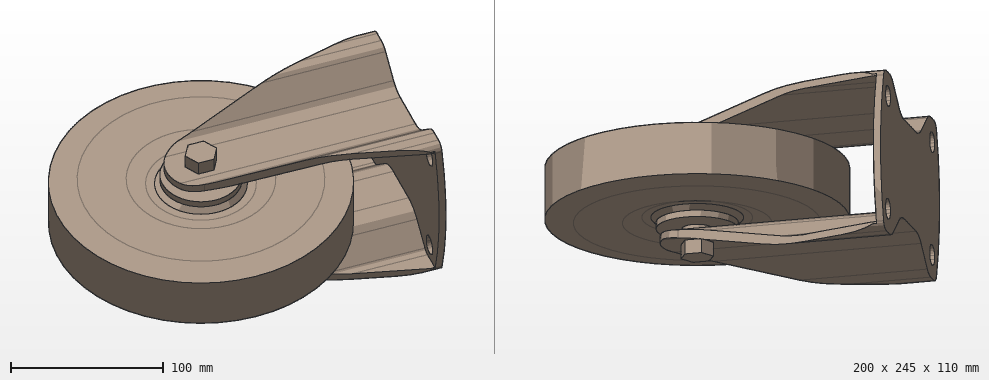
import cadquery as cq
import math

wheel_radius = 100.0
wheel_edge_half_width = 17.6
face_radius = 81.0
face_half_width = 20.0
recess_top_radius = 49.0
recess_floor_radius = 36.3
recess_floor_z = 16.2
hub_base_radius = 30.5
hub_radius = 27.0
hub_cone_top_z = 19.5
hub_half_width = 24.0

axle_diameter = 20.0
hex_across_flats = 19.0
hex_top_z = 43.5

sheet = 5.0
overall_length = 245.0
plate_y = overall_length - wheel_radius
plate_half_width = 70.0
plate_end_half_width = 61.2
plate_corner_radius = 6.9
slot_x = 52.2
slot_z = 38.7
slot_width = 11.0
slot_length = 13.7

valley_half_width = 14.0
valley_z = 34.0
overall_height = 110.0
crest_z = overall_height / 2
valley_bend_radius = 18.1
crest_bend_radius = 12.0
bend_angle = math.radians(42)

arm_tip_radius = 24.3
arm_root_half_width = 62.2
arm_taper_start_y = 137.2


def channel_half(depth):
    """Right half of the channel line, moved inward by depth, as points from valley to crest."""
    valley_radius = valley_bend_radius + depth
    crest_radius = crest_bend_radius - depth
    sin_a = math.sin(bend_angle)
    cos_a = math.cos(bend_angle)
    sin_half = math.sin(bend_angle / 2)
    cos_half = math.cos(bend_angle / 2)
    start_z = valley_z - depth
    end_z = crest_z - depth
    bend_rise = (valley_bend_radius + crest_bend_radius) * (1 - cos_a)
    slope_run = (crest_z - valley_z - bend_rise) / math.tan(bend_angle)
    crest_x = valley_half_width + (valley_bend_radius + crest_bend_radius) * sin_a + slope_run
    valley_start = (valley_half_width, start_z)
    valley_mid = (valley_half_width + valley_radius * sin_half, start_z + valley_radius * (1 - cos_half))
    valley_end = (valley_half_width + valley_radius * sin_a, start_z + valley_radius * (1 - cos_a))
    crest_start = (crest_x - crest_radius * sin_a, end_z - crest_radius * (1 - cos_a))
    crest_mid = (crest_x - crest_radius * sin_half, end_z - crest_radius * (1 - cos_half))
    crest_end = (crest_x, end_z)
    return valley_start, valley_mid, valley_end, crest_start, crest_mid, crest_end


def between_channels(depth):
    """Solid filling the space between the two channels, over the whole part length."""
    start, valley_mid, valley_end, crest_start, crest_mid, crest_end = channel_half(depth)
    quarter = (
        cq.Workplane("XZ", origin=(0, plate_y, 0))
        .lineTo(0, start[1])
        .lineTo(*start)
        .threePointArc(valley_mid, valley_end)
        .lineTo(*crest_start)
        .threePointArc(crest_mid, crest_end)
        .lineTo(plate_half_width, crest_end[1])
        .lineTo(plate_half_width, 0)
        .close()
        .extrude(overall_length)
    )
    half = quarter.union(quarter.mirror("YZ"))
    return half.union(half.mirror("XY"))


def side_limits():
    """Prism with bowed sides and rounded corners that bounds the sheet metal in X and Z."""
    return (
        cq.Workplane("XZ", origin=(0, plate_y, 0))
        .moveTo(-plate_end_half_width, crest_z)
        .lineTo(plate_end_half_width, crest_z)
        .threePointArc((plate_half_width, 0), (plate_end_half_width, -crest_z))
        .lineTo(-plate_end_half_width, -crest_z)
        .threePointArc((-plate_half_width, 0), (-plate_end_half_width, crest_z))
        .close()
        .extrude(overall_length)
        .edges("|Y")
        .fillet(plate_corner_radius)
    )


def arm_limits():
    """Prism along Z: a straight root, then a taper tangent to the round tip."""
    root_distance = math.hypot(arm_root_half_width, arm_taper_start_y)
    root_angle = math.atan2(arm_taper_start_y, arm_root_half_width)
    tangent_angle = root_angle - math.acos(arm_tip_radius / root_distance)
    tangent_x = arm_tip_radius * math.cos(tangent_angle)
    tangent_y = arm_tip_radius * math.sin(tangent_angle)
    return (
        cq.Workplane("XY", origin=(0, 0, -crest_z))
        .moveTo(-arm_root_half_width, plate_y)
        .lineTo(arm_root_half_width, plate_y)
        .lineTo(arm_root_half_width, arm_taper_start_y)
        .lineTo(tangent_x, tangent_y)
        .threePointArc((0, -arm_tip_radius), (-tangent_x, tangent_y))
        .lineTo(-arm_root_half_width, arm_taper_start_y)
        .close()
        .extrude(overall_height)
    )


def make_bracket():
    outer = between_channels(0).intersect(side_limits())
    arms = outer.cut(between_channels(sheet)).intersect(arm_limits())
    plate_slab = (
        cq.Workplane("XZ", origin=(0, plate_y, 0))
        .rect(2 * plate_half_width, overall_height)
        .extrude(sheet)
    )
    slots = (
        cq.Workplane("XZ", origin=(0, plate_y, 0))
        .rect(2 * slot_x, 2 * slot_z, forConstruction=True)
        .vertices()
        .slot2D(slot_length, slot_width, 90)
        .extrude(sheet)
    )
    plate = outer.intersect(plate_slab).cut(slots)
    return arms.union(plate)


def make_wheel():
    upper_profile = [
        (0, hub_half_width),
        (hub_radius, hub_half_width),
        (hub_radius, hub_cone_top_z),
        (hub_base_radius, recess_floor_z),
        (recess_floor_radius, recess_floor_z),
        (recess_top_radius, face_half_width),
        (face_radius, face_half_width),
        (wheel_radius, wheel_edge_half_width),
    ]
    lower_profile = [(radius, -z) for radius, z in reversed(upper_profile)]
    return (
        cq.Workplane("XZ")
        .polyline(upper_profile + lower_profile)
        .close()
        .revolve(360, (0, 0, 0), (0, 1, 0))
    )


def make_axle():
    pin = cq.Workplane("XY").circle(axle_diameter / 2).extrude(valley_z, both=True)
    hex_corner_diameter = hex_across_flats / math.cos(math.pi / 6)
    head = (
        cq.Workplane("XY", origin=(0, 0, valley_z))
        .transformed(rotate=(0, 0, 90))
        .polygon(6, hex_corner_diameter)
        .extrude(hex_top_z - valley_z)
    )
    return pin.union(head).union(head.mirror("XY"))


result = make_bracket().union(make_wheel()).union(make_axle())